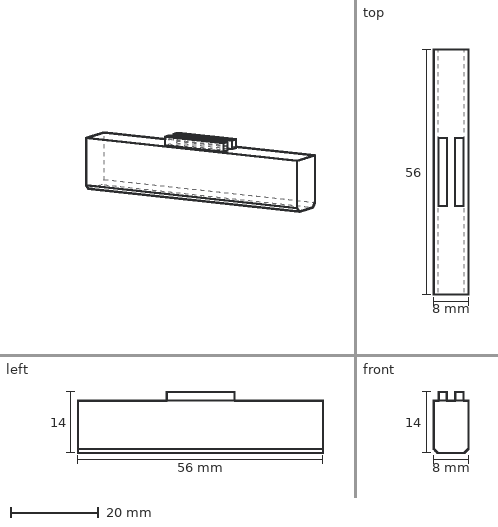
import cadquery as cq

body_width = 8.0
body_length = 56.0
body_height = 12.0
edge_chamfer = 1.0

rib_width = 1.9
rib_length = 15.5
rib_height = 2.0
rib_gap = 1.9
rib_offset = (rib_width + rib_gap) / 2


def make_body():
    """Bar resting on Z = 0, centred in X and Y."""
    bar = cq.Workplane("XY").box(body_width, body_length, body_height, centered=(True, True, False))
    return bar.faces("<Z").edges("|Y").chamfer(edge_chamfer)


def make_ribs():
    """Pair of ribs standing on the top face, either side of the centre plane."""
    return (
        cq.Workplane("XY")
        .workplane(offset=body_height)
        .pushPoints([(-rib_offset, 0), (rib_offset, 0)])
        .rect(rib_width, rib_length)
        .extrude(rib_height)
    )


result = make_body().union(make_ribs())